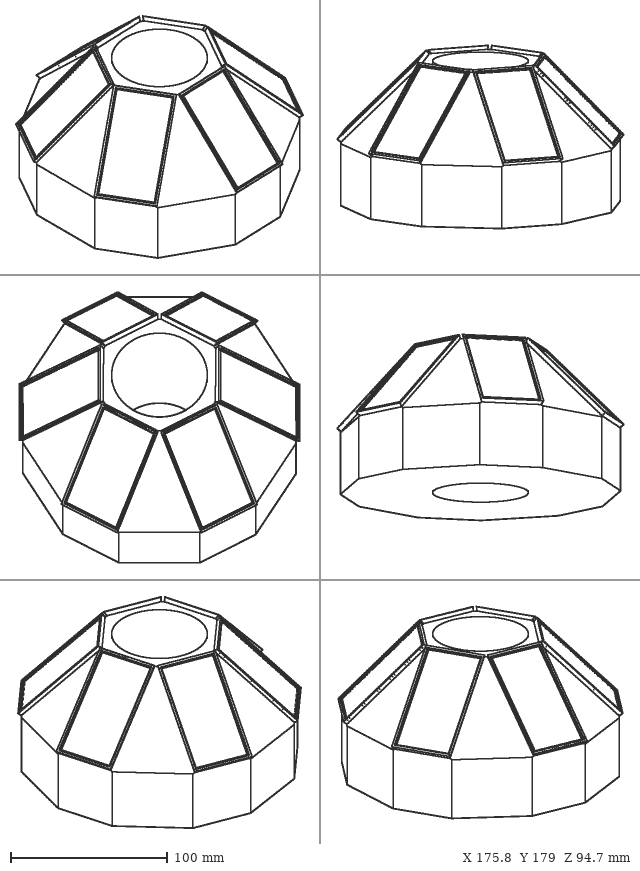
import cadquery as cq
import math

PANEL_COUNT = 6
ROOF_ANGLE = 45.0
TOP_APOTHEM = 35.8
SEAT_RUN = 51.6
WALL_HEIGHT = 41.0
WALL_SIDE = 41.4
BORE_DIAMETER = 61.3

PANEL_WIDTH = 41.4
PANEL_THICKNESS = 3.0
RIM_WIDTH = 1.52
GROOVE_WIDTH = 0.7
GROOVE_DEPTH = 1.5
FIELD_RECESS = 0.7
SIDE_UNDERCUT = 1.3

SEAT_WIDTH = PANEL_WIDTH - 2 * SIDE_UNDERCUT
SLOPE = math.radians(ROOF_ANGLE)
WALL_APOTHEM = TOP_APOTHEM + SEAT_RUN
TOP_Z = WALL_HEIGHT + SEAT_RUN * math.tan(SLOPE)
ROOF_FOOT_APOTHEM = TOP_APOTHEM + TOP_Z / math.tan(SLOPE)
PANEL_LENGTH = SEAT_RUN / math.cos(SLOPE)
SEAT_ANGLES = [90 + i * 360 / PANEL_COUNT for i in range(PANEL_COUNT)]


def ring_corners(apothem, width, z):
    """Corners of a twelve-sided ring at one height, with a side of the given width below each panel."""
    corners = []
    for angle in SEAT_ANGLES:
        a = math.radians(angle)
        for offset in (-width / 2, width / 2):
            x = apothem * math.cos(a) - offset * math.sin(a)
            y = apothem * math.sin(a) + offset * math.cos(a)
            corners.append(cq.Vector(x, y, z))
    return corners


def flat_face(points):
    return cq.Face.makeFromWires(cq.Wire.makePolygon(points, close=True))


def flat_sided_solid(bottom, top):
    """Solid between two rings of matching corners, joined by flat sides."""
    faces = [flat_face(bottom), flat_face(top)]
    for i in range(len(bottom)):
        j = (i + 1) % len(bottom)
        faces.append(flat_face([bottom[i], bottom[j], top[j], top[i]]))
    return cq.Workplane(obj=cq.Solid.makeSolid(cq.Shell.makeShell(faces)))


def make_housing():
    walls = flat_sided_solid(
        ring_corners(WALL_APOTHEM, WALL_SIDE, 0),
        ring_corners(WALL_APOTHEM, WALL_SIDE, TOP_Z),
    )
    roof = flat_sided_solid(
        ring_corners(ROOF_FOOT_APOTHEM, SEAT_WIDTH, 0),
        ring_corners(TOP_APOTHEM, SEAT_WIDTH, TOP_Z),
    )
    bore = cq.Workplane().circle(BORE_DIAMETER / 2).extrude(TOP_Z)
    return walls.intersect(roof).cut(bore)


def make_panel(angle):
    a = math.radians(angle)
    middle = TOP_APOTHEM + SEAT_RUN / 2
    seat = cq.Plane(
        origin=(middle * math.cos(a), middle * math.sin(a), (WALL_HEIGHT + TOP_Z) / 2),
        xDir=(-math.sin(a), math.cos(a), 0),
        normal=(math.sin(SLOPE) * math.cos(a), math.sin(SLOPE) * math.sin(a), math.cos(SLOPE)),
    )
    foot = (-PANEL_WIDTH / 2 + SIDE_UNDERCUT, 0)
    brim = (-PANEL_WIDTH / 2, PANEL_THICKNESS)
    cross_section = [foot, brim, (-brim[0], brim[1]), (-foot[0], foot[1])]
    lower_end = cq.Plane(
        origin=seat.toWorldCoords((0, -PANEL_LENGTH / 2, 0)).toTuple(), xDir=seat.xDir, normal=seat.yDir * -1
    )
    slab = cq.Workplane(lower_end).polyline(cross_section).close().extrude(-PANEL_LENGTH)
    field_width = PANEL_WIDTH - 2 * RIM_WIDTH
    field_length = PANEL_LENGTH - 2 * RIM_WIDTH
    field = cq.Workplane(seat).workplane(offset=PANEL_THICKNESS).rect(field_width, field_length)
    recess = field.extrude(-FIELD_RECESS)
    groove = (
        cq.Workplane(seat)
        .workplane(offset=PANEL_THICKNESS)
        .rect(field_width, field_length)
        .rect(field_width - 2 * GROOVE_WIDTH, field_length - 2 * GROOVE_WIDTH)
        .extrude(-GROOVE_DEPTH)
    )
    return slab.cut(recess).cut(groove)


housing = make_housing()
panels = [make_panel(angle) for angle in SEAT_ANGLES]

result = cq.Compound.makeCompound([housing.val(), *[panel.val() for panel in panels]])